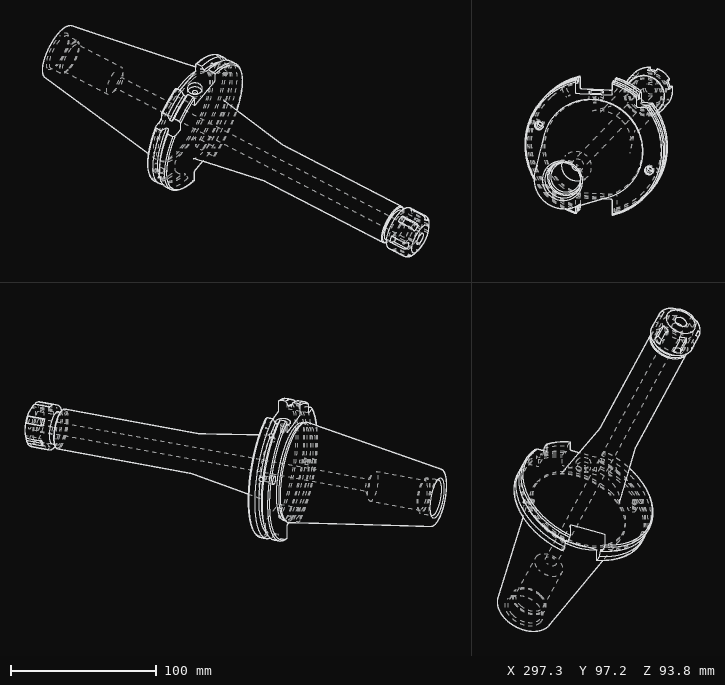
import cadquery as cq
import math


total_length = 297.3

taper_length = 101.7
taper_small_radius = 20.2
taper_large_radius = 35.0
taper_end_round = 1.8
relief_radius = 34.2
relief_start = 103.2

bore_mouth_radius = 14.0
bore_pilot_radius = 12.5
bore_step_radius = 11.5
bore_thread_radius = 10.5
pilot_depth = 9.8
thread_depth = 47.0
drill_cone_length = 4.0
through_radius = 4.2

flange_start = 105.0
flange_end = 120.7
flange_diameter = 97.2
flange_radius = flange_diameter / 2
flange_chamfer = 1.05
groove_center = 112.7
groove_floor_radius = 45.5
groove_floor_half = 1.0
groove_half_angle = 30.0
groove_mouth_half = (
    groove_floor_half
    + (flange_radius - groove_floor_radius) * math.tan(math.radians(groove_half_angle))
)

slot_width = 25.5
upper_slot_floor = 37.8
lower_slot_floor = 35.5
cutout_corner_round = 1.0
notch_offset = 30.0

chip_hole_radius = 5.0
chip_hole_depth = 4.5
chip_center_radius = 1.8
chip_center_depth = 3.0

coolant_angles = (20.0, 200.0)
coolant_circle_radius = 41.0
coolant_mouth_radius = 3.0
coolant_mouth_depth = 3.0
coolant_radius = 1.8
groove_hole_angles = (20.0, 60.0, 200.0)
groove_hole_radius = 1.5
groove_hole_floor = 39.2

hub_radius = 26.8
cone_start = 124.5
cone_start_radius = 22.3
blend_start = 174.8
blend_end = 176.5
blend_start_radius = 14.3
bar_radius = 14.0
bar_end = 275.3
bar_chamfer = 0.5

nose_radius = 11.3
nose_end = 291.5

nut_start = 279.2
nut_radius = 15.8
nut_back_round = 1.5
nut_cone_start = 294.7
nut_face_radius = 10.7
nut_front_round = 2.7

spanner_slot_count = 6
spanner_slot_phase = 100.0
spanner_slot_width = 5.0
spanner_slot_start = 282.8
spanner_slot_depth = 2.5


def revolve_about_x(profile):
    return profile.close().revolve(360, (0, 0, 0), (1, 0, 0))


def cylinder(start, direction, length, radius):
    return cq.Workplane(cq.Solid.makeCylinder(radius, length, cq.Vector(*start), cq.Vector(*direction)))


def radial_direction(angle):
    return (0, math.cos(math.radians(angle)), math.sin(math.radians(angle)))


def box_between(x_range, y_range, z_range):
    size = [high - low for low, high in (x_range, y_range, z_range)]
    corner = (x_range[0], y_range[0], z_range[0])
    return cq.Workplane("XY").box(*size, centered=False).translate(corner)


def holder_blank():
    """Taper, flange with V-groove, neck cone, bar and nose as one turned body."""
    fillet_mid_factor = 1 - math.sqrt(0.5)
    fillet_mid = (
        flange_end + fillet_mid_factor * (cone_start - flange_end),
        cone_start_radius + fillet_mid_factor * (hub_radius - cone_start_radius),
    )
    profile = (
        cq.Workplane("XY")
        .moveTo(0, 0)
        .lineTo(0, taper_small_radius - taper_end_round)
        .radiusArc((taper_end_round, taper_small_radius), taper_end_round)
        .lineTo(taper_length, taper_large_radius)
        .lineTo(relief_start, relief_radius)
        .lineTo(flange_start, relief_radius)
        .lineTo(flange_start, flange_radius - flange_chamfer)
        .lineTo(flange_start + flange_chamfer, flange_radius)
        .lineTo(groove_center - groove_mouth_half, flange_radius)
        .lineTo(groove_center - groove_floor_half, groove_floor_radius)
        .lineTo(groove_center + groove_floor_half, groove_floor_radius)
        .lineTo(groove_center + groove_mouth_half, flange_radius)
        .lineTo(flange_end - flange_chamfer, flange_radius)
        .lineTo(flange_end, flange_radius - flange_chamfer)
        .lineTo(flange_end, hub_radius)
        .threePointArc(fillet_mid, (cone_start, cone_start_radius))
        .lineTo(blend_start, blend_start_radius)
        .lineTo(blend_end, bar_radius)
        .lineTo(bar_end - bar_chamfer, bar_radius)
        .lineTo(bar_end, bar_radius - bar_chamfer)
        .lineTo(bar_end, nose_radius)
        .lineTo(nose_end, nose_radius)
        .lineTo(nose_end, 0)
    )
    return revolve_about_x(profile)


def drawbar_bore():
    """Stepped bore that narrows to the coolant passage through the bar."""
    mouth_chamfer = bore_mouth_radius - bore_pilot_radius
    step_chamfer = bore_step_radius - bore_thread_radius
    profile = (
        cq.Workplane("XY")
        .moveTo(0, 0)
        .lineTo(0, bore_mouth_radius)
        .lineTo(mouth_chamfer, bore_pilot_radius)
        .lineTo(pilot_depth, bore_pilot_radius)
        .lineTo(pilot_depth, bore_step_radius)
        .lineTo(pilot_depth + step_chamfer, bore_thread_radius)
        .lineTo(thread_depth, bore_thread_radius)
        .lineTo(thread_depth + drill_cone_length, through_radius)
        .lineTo(nose_end, through_radius)
        .lineTo(nose_end, 0)
    )
    return revolve_about_x(profile)


def flange_cutouts():
    """Two drive slots and the corner orientation notch."""
    across_flange = (flange_start, flange_end)
    beyond_rim = flange_radius + cutout_corner_round
    slot_sides = (-slot_width / 2, slot_width / 2)
    upper_slot = box_between(across_flange, slot_sides, (upper_slot_floor, beyond_rim))
    lower_slot = box_between(across_flange, slot_sides, (-beyond_rim, -lower_slot_floor))
    notch = box_between(across_flange, (-beyond_rim, -notch_offset), (notch_offset, beyond_rim))
    cutouts = upper_slot.union(lower_slot).union(notch)
    return cutouts.edges("|X").fillet(cutout_corner_round)


def chip_hole():
    """Data-chip pocket in the upper slot floor, with a small center hole."""
    down = (0, 0, -1)
    top = (groove_center, 0, upper_slot_floor)
    pocket = cylinder(top, down, chip_hole_depth, chip_hole_radius)
    return pocket.union(cylinder(top, down, chip_hole_depth + chip_center_depth, chip_center_radius))


def coolant_hole(angle):
    """Stepped hole from the flange's taper-side face to the middle of the groove."""
    direction = radial_direction(angle)
    start = (flange_start, coolant_circle_radius * direction[1], coolant_circle_radius * direction[2])
    mouth = cylinder(start, (1, 0, 0), coolant_mouth_depth, coolant_mouth_radius)
    return mouth.union(cylinder(start, (1, 0, 0), groove_center - flange_start, coolant_radius))


def groove_hole(angle):
    """Radial hole in the floor of the V-groove."""
    direction = radial_direction(angle)
    start = (groove_center, groove_hole_floor * direction[1], groove_hole_floor * direction[2])
    return cylinder(start, direction, flange_radius - groove_hole_floor, groove_hole_radius)


def make_holder():
    holder = holder_blank().cut(drawbar_bore()).cut(flange_cutouts()).cut(chip_hole())
    for angle in coolant_angles:
        holder = holder.cut(coolant_hole(angle))
    for angle in groove_hole_angles:
        holder = holder.cut(groove_hole(angle))
    return holder


def nut_blank():
    """Turned nut with rounded rims and a recess that fits the nose."""
    outline = (
        cq.Workplane("XY")
        .moveTo(nut_start, 0)
        .lineTo(nut_start, nut_radius)
        .lineTo(nut_cone_start, nut_radius)
        .lineTo(total_length, nut_face_radius)
        .lineTo(total_length, 0)
    )
    nut = revolve_about_x(outline)
    nut = nut.edges(cq.selectors.RadiusNthSelector(-1)).edges("<X").fillet(nut_back_round)
    nut = nut.edges(cq.selectors.RadiusNthSelector(-1)).edges(">X").fillet(nut_front_round)
    recess = cylinder((nut_start, 0, 0), (1, 0, 0), nose_end - nut_start, nose_radius)
    opening = cylinder((nose_end, 0, 0), (1, 0, 0), total_length - nose_end, through_radius)
    return nut.cut(recess).cut(opening)


def spanner_slot():
    """Slot along +Y with a 45 degree run-out, open at the front face."""
    slot_floor = nut_radius - spanner_slot_depth
    return (
        cq.Workplane("XY")
        .moveTo(spanner_slot_start, nut_radius)
        .lineTo(spanner_slot_start + spanner_slot_depth, slot_floor)
        .lineTo(total_length, slot_floor)
        .lineTo(total_length, nut_radius)
        .close()
        .extrude(spanner_slot_width / 2, both=True)
    )


def make_nut():
    nut = nut_blank()
    for index in range(spanner_slot_count):
        angle = spanner_slot_phase + index * 360 / spanner_slot_count
        nut = nut.cut(spanner_slot().rotate((0, 0, 0), (1, 0, 0), angle))
    return nut


holder = make_holder()
nut = make_nut()

result = cq.Compound.makeCompound([holder.val(), nut.val()])